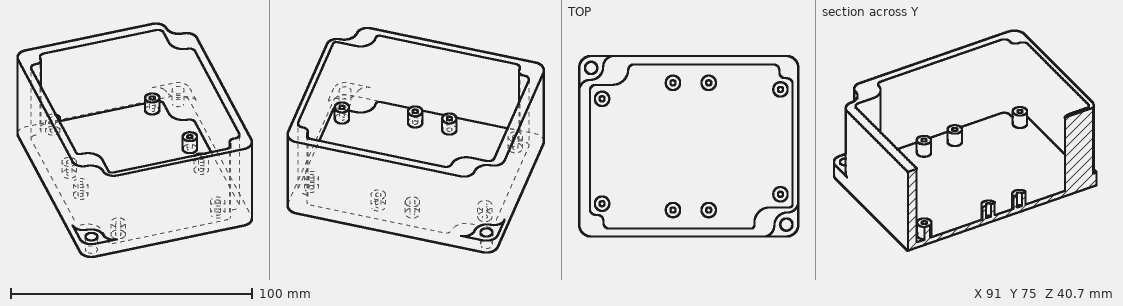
import cadquery as cq

length = 91.0
width = 75.0
height = 40.7
corner_radius = 5.0

lug_height = 6.8
notch_inner_radius = 5.5
notch_mouth_radius = 4.55
notch_depth = notch_inner_radius + notch_mouth_radius
lug_hole_diameter = 5.0
lug_hole_inset = 5.0

floor_thickness = 3.0
left_x = -41.0
right_x = 43.1
front_y = -34.2
back_y = 33.9

corner_blocks = [
    (left_x, back_y, 15.9, 8.5, 6.4, 2.5),
    (right_x, front_y, 15.9, 8.8, 6.4, 1.5),
    (right_x, back_y, 5.55, 5.7, 2.5, 2.5),
    (left_x, front_y, 5.6, 5.7, 2.5, 2.5),
]

post_diameter = 6.0
post_hole_diameter = 2.2
post_height = 6.4
post_centers = [
    (-35.9, 19.7), (-35.9, -23.8),
    (38.0, 23.6), (38.0, -19.9),
    (-6.55, 26.3), (8.3, 26.3),
    (-6.55, -26.5), (8.3, -26.5),
]


def round_vertical_edge(solid, x, y, radius):
    """Fillet the vertical edge standing at (x, y)."""
    nearest = cq.selectors.NearestToPointSelector((x, y, solid.val().BoundingBox().center.z))
    return solid.edges("|Z").edges(nearest).fillet(radius)


def outer_body():
    """Block with notched, rounded corners above the two lugs."""
    body = cq.Workplane().box(length, width, height, centered=(True, True, False))
    body = body.edges("|Z").fillet(corner_radius)
    notch_height = height - lug_height
    for side in (-1, 1):
        edge_x, edge_y = side * length / 2, -side * width / 2
        inner_x, inner_y = edge_x - side * notch_depth, edge_y + side * notch_depth
        mouth_x, mouth_y = inner_x - side * notch_mouth_radius, inner_y + side * notch_mouth_radius
        notch = (
            cq.Workplane(origin=(0, 0, lug_height))
            .moveTo(edge_x, edge_y)
            .lineTo(mouth_x, edge_y)
            .radiusArc((inner_x, edge_y + side * notch_mouth_radius), -notch_mouth_radius)
            .radiusArc((inner_x + side * notch_inner_radius, inner_y), notch_inner_radius)
            .radiusArc((edge_x, mouth_y), -notch_mouth_radius)
            .close()
            .extrude(notch_height)
        )
        hole = (
            cq.Workplane()
            .center(edge_x - side * lug_hole_inset, edge_y + side * lug_hole_inset)
            .circle(lug_hole_diameter / 2)
            .extrude(lug_height)
        )
        body = body.cut(notch).cut(hole)
    return body


def cavity():
    """Open-topped pocket, stepped inward at each corner with rounded steps."""
    depth = height - floor_thickness
    base = cq.Workplane(origin=(0, 0, floor_thickness))
    pocket = (
        base.center((left_x + right_x) / 2, (front_y + back_y) / 2)
        .rect(right_x - left_x, back_y - front_y)
        .extrude(depth)
    )
    for x, y, size_x, size_y, nose_radius, root_radius in corner_blocks:
        toward_x = 1 if x < 0 else -1
        toward_y = 1 if y < 0 else -1
        nose_x, nose_y = x + toward_x * size_x, y + toward_y * size_y
        block = base.center((x + nose_x) / 2, (y + nose_y) / 2).rect(size_x, size_y).extrude(depth)
        pocket = pocket.cut(block)
        pocket = round_vertical_edge(pocket, nose_x, nose_y, nose_radius)
        pocket = round_vertical_edge(pocket, x, nose_y, root_radius)
        pocket = round_vertical_edge(pocket, nose_x, y, root_radius)
    return pocket


def posts():
    """Tubes standing on the cavity floor."""
    return (
        cq.Workplane(origin=(0, 0, floor_thickness))
        .pushPoints(post_centers)
        .circle(post_diameter / 2)
        .circle(post_hole_diameter / 2)
        .extrude(post_height)
    )


result = outer_body().cut(cavity()).union(posts())